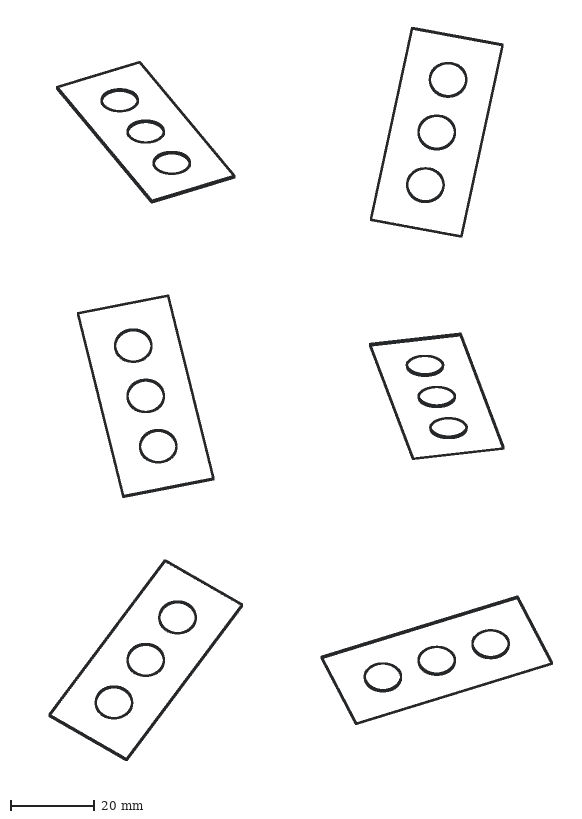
import cadquery as cq

length = 50.8
width = 22.25
thickness = 0.5

hole_diameter = 8.75
hole_count = 3
hole_pitch = 13.95

plate = cq.Workplane("XY").box(length, width, thickness)

result = (
    plate.faces(">Z")
    .workplane()
    .rarray(hole_pitch, 0.5, hole_count, 1)
    .hole(hole_diameter)
)